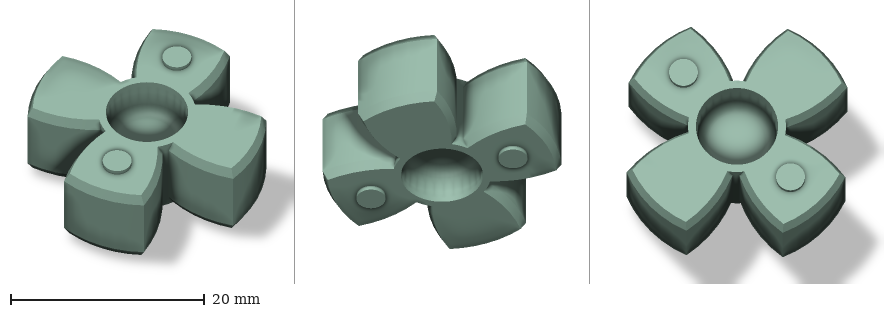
import cadquery as cq
import math

body_height = 9.0
outer_radius = 12.35
hub_radius = 5.06
lobe_count = 4

lobe_half_width = 4.62
widest_distance = 9.55
flank_radius = 13.35
lobe_root_distance = 3.2
chamfer_height = 1.0
chamfer_inset = 0.52

pin_diameter = 3.0
overall_height = 10.0
pin_height = (overall_height - body_height) / 2
pin_distance = 8.0

pocket_depth = 4.0
pocket_mouth_radius = 4.25
pocket_floor_radius = 3.93
pocket_floor_fillet = 1.01


def flank_half_width(distance):
    """Half width of a lobe at a distance from the part axis."""
    offset = distance - widest_distance
    return lobe_half_width - flank_radius + math.sqrt(flank_radius**2 - offset**2)


def make_lobe():
    """Lobe along +X with chamfered top and bottom edges."""
    flank_center_y = lobe_half_width - flank_radius
    center_distance = math.hypot(widest_distance, flank_center_y)
    along = (outer_radius**2 - flank_radius**2 + center_distance**2) / (2 * center_distance)
    tip_angle = math.atan2(flank_center_y, widest_distance) + math.acos(along / outer_radius)
    tip_x = outer_radius * math.cos(tip_angle)
    tip_y = outer_radius * math.sin(tip_angle)

    root_x = lobe_root_distance
    root_y = flank_half_width(root_x)
    middle_x = (root_x + tip_x) / 2
    middle_y = flank_half_width(middle_x)
    upper_half = (
        cq.Workplane("XY")
        .moveTo(root_x, -root_y)
        .threePointArc((middle_x, -middle_y), (tip_x, -tip_y))
        .threePointArc((outer_radius, 0), (tip_x, tip_y))
        .threePointArc((middle_x, middle_y), (root_x, root_y))
        .close()
        .extrude(body_height / 2)
        .faces(">Z")
        .chamfer(chamfer_height, chamfer_inset)
    )
    return upper_half.union(upper_half.mirror("XY"))


def make_pocket():
    """Pocket volume, open at the top face, with a drafted wall and rounded floor."""
    top_z = body_height / 2
    return (
        cq.Workplane("XY", origin=(0, 0, top_z - pocket_depth))
        .circle(pocket_floor_radius)
        .workplane(offset=pocket_depth)
        .circle(pocket_mouth_radius)
        .loft(ruled=True)
        .faces("<Z")
        .edges()
        .fillet(pocket_floor_fillet)
    )


def make_pins(positions, start_z):
    """Pins of the standard size at the given XY positions, rising from start_z."""
    pins = cq.Workplane("XY", origin=(0, 0, start_z)).pushPoints(positions)
    return pins.circle(pin_diameter / 2).extrude(pin_height)


body = cq.Workplane("XY").circle(hub_radius).extrude(body_height / 2, both=True)
lobe = make_lobe()
for index in range(lobe_count):
    body = body.union(lobe.rotate((0, 0, 0), (0, 0, 1), index * 360 / lobe_count))

pocket = make_pocket()
body = body.cut(pocket).cut(pocket.mirror("XY"))

top_pins = make_pins([(0, pin_distance), (0, -pin_distance)], body_height / 2)
bottom_pins = make_pins([(pin_distance, 0), (-pin_distance, 0)], -body_height / 2 - pin_height)
result = body.union(top_pins).union(bottom_pins)